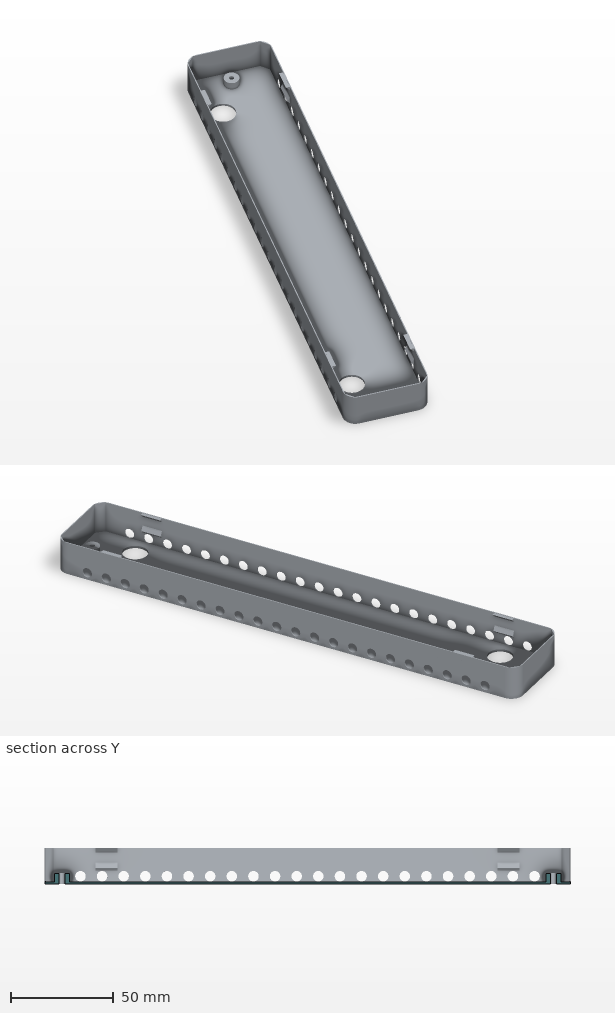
import cadquery as cq

length = 256.5
width = 43.0
height = 17.7
wall = 0.5
floor = 1.3
outer_corner_radius = 6.5
inner_corner_chamfer = 3.8

wall_hole_count = 22
wall_hole_diameter = 5.1
wall_hole_row_length = 221.5
wall_hole_pitch = wall_hole_row_length / (wall_hole_count - 1)
wall_hole_z = floor + wall_hole_diameter / 2

floor_hole_diameter = 12.8
floor_hole_x = 101.5
floor_hole_y = -10.3

boss_diameter = 7.7
boss_height = 4.0
screw_hole_diameter = 2.55
boss_x = 119.8

ridge_length = 10.8
ridge_x = 98.0
ridge_root = 0.3

lower_ridge_depth = 1.3
lower_ridge_bottom_z = 6.7
lower_ridge_height = 3.8

upper_ridge_depth = 2.0
rim_gap = 0.13
upper_ridge_top_z = height - rim_gap


def mirrored_in_x(x, y):
    return [(-x, y), (x, y)]


def make_tray():
    body = (
        cq.Workplane("XY")
        .box(length, width, height, centered=(True, True, False))
        .edges("|Z")
        .fillet(outer_corner_radius)
    )
    cavity = (
        cq.Workplane("XY", origin=(0, 0, floor))
        .box(length - 2 * wall, width - 2 * wall, height, centered=(True, True, False))
        .edges("|Z")
        .chamfer(inner_corner_chamfer)
    )
    return body.cut(cavity)


def make_ridge(x, side, depth, bottom_z, top_z):
    """Triangular ridge centred at x on the +Y (side = 1) or -Y (side = -1) wall."""
    wall_y = side * (width / 2 - wall)
    root_y = wall_y + side * ridge_root
    crest = (wall_y - side * depth, bottom_z + depth)
    outline = [(root_y, bottom_z), (wall_y, bottom_z), crest, (wall_y, top_z), (root_y, top_z)]
    return (
        cq.Workplane("YZ", origin=(x - ridge_length / 2, 0, 0))
        .polyline(outline)
        .close()
        .extrude(ridge_length)
    )


def make_lower_ridge(x, side):
    top_z = lower_ridge_bottom_z + lower_ridge_height
    return make_ridge(x, side, lower_ridge_depth, lower_ridge_bottom_z, top_z)


def make_upper_ridge(x, side):
    bottom_z = upper_ridge_top_z - upper_ridge_depth
    return make_ridge(x, side, upper_ridge_depth, bottom_z, upper_ridge_top_z)


def cylinders(points, diameter, depth):
    return cq.Workplane("XY").pushPoints(points).circle(diameter / 2).extrude(depth)


def make_wall_holes():
    return (
        cq.Workplane("XZ", origin=(0, 0, wall_hole_z))
        .rarray(wall_hole_pitch, 2.5, wall_hole_count, 1)
        .circle(wall_hole_diameter / 2)
        .extrude(width, both=True)
    )


boss_points = mirrored_in_x(boss_x, 0)
floor_hole_points = mirrored_in_x(floor_hole_x, floor_hole_y)

result = make_tray()
for x in (-ridge_x, ridge_x):
    for side in (-1, 1):
        result = result.union(make_lower_ridge(x, side))
        result = result.union(make_upper_ridge(x, side))
result = result.union(cylinders(boss_points, boss_diameter, floor + boss_height))

result = result.cut(cylinders(boss_points, screw_hole_diameter, height))
result = result.cut(cylinders(floor_hole_points, floor_hole_diameter, floor))
result = result.cut(make_wall_holes())